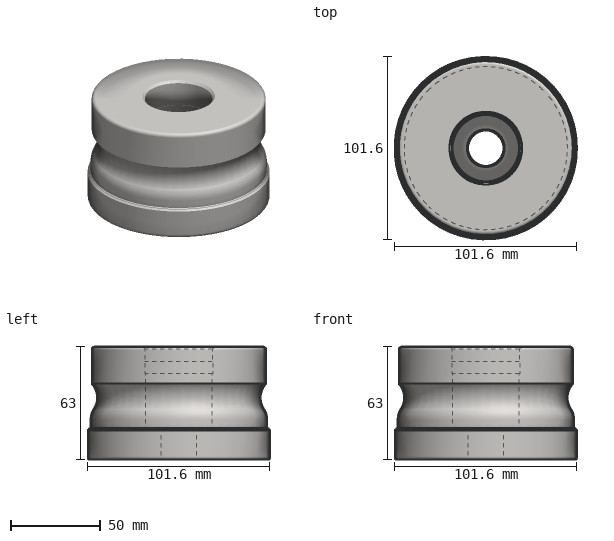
import cadquery as cq
import math

TOTAL_HEIGHT = 63.0

BASE_RADIUS = 50.8
BASE_HEIGHT = 17.1
BASE_TOP_CHAMFER = 0.8
BASE_BOTTOM_ROUND = 2.0
BASE_BOTTOM_ROUND_HEIGHT = 1.6
HOLE_RADIUS = 10.0
HOLE_CHAMFER = 0.5

HEAD_RADIUS = 48.6
HEAD_FILLET = 2.0
SKIRT_RADIUS = 49.2
SKIRT_TOP_Z = 22.4
FOOT_RADIUS = 49.8
FOOT_EDGE_HEIGHT = 0.3
FOOT_SLOPE_HEIGHT = 0.3

GROOVE_FLOOR_RADIUS = 45.5
GROOVE_FLOOR_Z = 34.5
GROOVE_ARC = 12.0
SHOULDER_ARC = 10.2
CONE_ANGLE = math.radians(30)

BORE_RADIUS = 18.9
BORE_MOUTH_RADIUS = 20.2
BORE_MOUTH_DEPTH = 1.3
BORE_DEPTH = 8.1
RELIEF_RADIUS = 19.0
RELIEF_DEPTH = 14.8
THROAT_RADIUS = 18.6


def arc_point(center, radius, angle):
    """Point (r, z) on an arc, with the angle measured from the outward radial direction."""
    return (center[0] + radius * math.cos(angle), center[1] + radius * math.sin(angle))


def revolve_profile(profile):
    """Turn a closed (r, z) profile about the Z axis."""
    return profile.close().revolve(360, (0, 0, 0), (0, 1, 0))


def make_base():
    """Disc with a rounded lower rim, a chamfered upper rim and a chamfered centre hole."""
    round_center = (BASE_RADIUS - BASE_BOTTOM_ROUND, BASE_BOTTOM_ROUND_HEIGHT)
    round_angle = -math.asin(BASE_BOTTOM_ROUND_HEIGHT / BASE_BOTTOM_ROUND)
    profile = (
        cq.Workplane("XZ")
        .moveTo(HOLE_RADIUS, 0)
        .lineTo(*arc_point(round_center, BASE_BOTTOM_ROUND, round_angle))
        .threePointArc(
            arc_point(round_center, BASE_BOTTOM_ROUND, round_angle / 2),
            (BASE_RADIUS, BASE_BOTTOM_ROUND_HEIGHT),
        )
        .lineTo(BASE_RADIUS, BASE_HEIGHT - BASE_TOP_CHAMFER)
        .lineTo(BASE_RADIUS - BASE_TOP_CHAMFER, BASE_HEIGHT)
        .lineTo(HOLE_RADIUS + HOLE_CHAMFER, BASE_HEIGHT)
        .lineTo(HOLE_RADIUS, BASE_HEIGHT - HOLE_CHAMFER)
    )
    return revolve_profile(profile)


def make_hub():
    """Ring with a rounded head, an outer groove and a stepped through bore."""
    foot_edge_z = BASE_HEIGHT + FOOT_EDGE_HEIGHT
    shoulder_center = (SKIRT_RADIUS - SHOULDER_ARC, SKIRT_TOP_Z)
    groove_center = (GROOVE_FLOOR_RADIUS + GROOVE_ARC, GROOVE_FLOOR_Z)
    groove_rise = math.sqrt(GROOVE_ARC**2 - (groove_center[0] - HEAD_RADIUS) ** 2)
    head_center = (HEAD_RADIUS - HEAD_FILLET, TOTAL_HEIGHT - HEAD_FILLET)
    profile = (
        cq.Workplane("XZ")
        .moveTo(THROAT_RADIUS, BASE_HEIGHT)
        .lineTo(FOOT_RADIUS, BASE_HEIGHT)
        .lineTo(FOOT_RADIUS, foot_edge_z)
        .lineTo(SKIRT_RADIUS, foot_edge_z + FOOT_SLOPE_HEIGHT)
        .lineTo(SKIRT_RADIUS, SKIRT_TOP_Z)
        .threePointArc(
            arc_point(shoulder_center, SHOULDER_ARC, CONE_ANGLE / 2),
            arc_point(shoulder_center, SHOULDER_ARC, CONE_ANGLE),
        )
        .lineTo(*arc_point(groove_center, GROOVE_ARC, math.pi + CONE_ANGLE))
        .threePointArc(
            (GROOVE_FLOOR_RADIUS, GROOVE_FLOOR_Z),
            (HEAD_RADIUS, GROOVE_FLOOR_Z + groove_rise),
        )
        .lineTo(HEAD_RADIUS, head_center[1])
        .threePointArc(
            arc_point(head_center, HEAD_FILLET, math.pi / 4),
            (head_center[0], TOTAL_HEIGHT),
        )
        .lineTo(BORE_MOUTH_RADIUS, TOTAL_HEIGHT)
        .lineTo(BORE_RADIUS, TOTAL_HEIGHT - BORE_MOUTH_DEPTH)
        .lineTo(BORE_RADIUS, TOTAL_HEIGHT - BORE_DEPTH)
        .lineTo(RELIEF_RADIUS, TOTAL_HEIGHT - BORE_DEPTH)
        .lineTo(RELIEF_RADIUS, TOTAL_HEIGHT - RELIEF_DEPTH)
        .lineTo(THROAT_RADIUS, TOTAL_HEIGHT - RELIEF_DEPTH)
    )
    return revolve_profile(profile)


base = make_base()
hub = make_hub()

result = cq.Compound.makeCompound([base.val(), hub.val()])